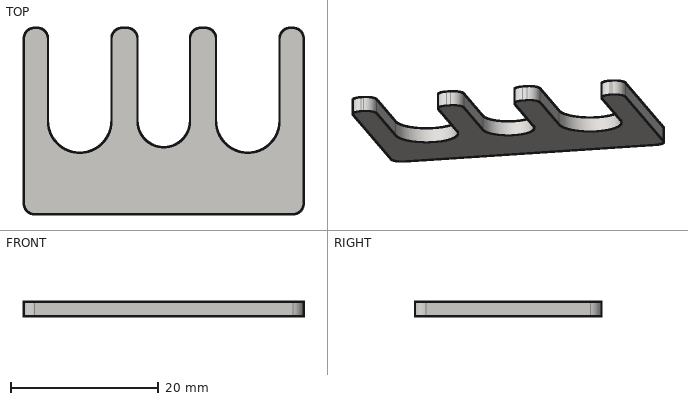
import cadquery as cq

LENGTH = 38.1
WIDTH = 25.4
THICKNESS = 2.0
CORNER_RADIUS = 1.5

SIDE_SLOT_WIDTH = 8.6
MIDDLE_SLOT_WIDTH = 7.1
SIDE_SLOT_OFFSET = 11.43
SLOT_ARC_CENTRE_Y = 0.0


def plate():
    return cq.Workplane("XY").rect(LENGTH, WIDTH).extrude(THICKNESS)


def slot_cutter(centre_x, slot_width):
    """U-shaped prism from the round inner end to the +Y edge."""
    radius = slot_width / 2
    left = centre_x - radius
    right = centre_x + radius
    edge_y = WIDTH / 2
    return (
        cq.Workplane("XY")
        .moveTo(left, edge_y)
        .lineTo(left, SLOT_ARC_CENTRE_Y)
        .threePointArc((centre_x, SLOT_ARC_CENTRE_Y - radius), (right, SLOT_ARC_CENTRE_Y))
        .lineTo(right, edge_y)
        .close()
        .extrude(THICKNESS)
    )


def round_corners(body):
    """Round the vertical edges on the -Y and +Y sides."""
    for side in ("<Y", ">Y"):
        body = body.faces(side).edges("|Z").fillet(CORNER_RADIUS)
    return body


slots = (
    (-SIDE_SLOT_OFFSET, SIDE_SLOT_WIDTH),
    (0.0, MIDDLE_SLOT_WIDTH),
    (SIDE_SLOT_OFFSET, SIDE_SLOT_WIDTH),
)

body = plate()
for slot_x, width in slots:
    body = body.cut(slot_cutter(slot_x, width))

result = round_corners(body)